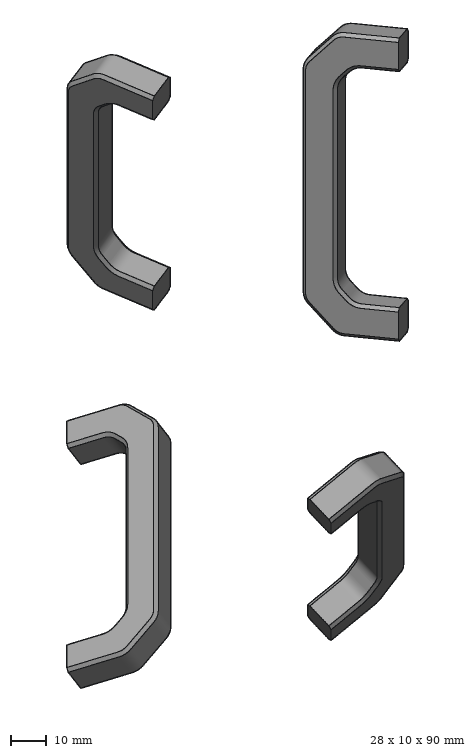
import cadquery as cq

HEIGHT = 90.0
REACH = 28.0
BAR = 10.0

OUTER_BEVEL = 10.0
INNER_BEVEL = 5.0
BEND_RADIUS = 5.0
EDGE_CHAMFER = 1.0


def beveled_block(left, half_height, bevel):
    """Block from x = left to the mounting plane, with both left corners beveled and rounded."""
    block = (
        cq.Workplane("XY")
        .box(REACH - left, BAR, 2 * half_height, centered=(False, True, True))
        .translate((left, 0, 0))
    )
    block = block.edges("|Y and <X").chamfer(bevel)
    return block.edges("|Y and (not >X)").fillet(BEND_RADIUS)


def chamfer_long_edges(body):
    """Chamfer the rims of both side faces, leaving the mounting faces square."""
    return body.faces("<Y or >Y").edges("not(>X)").chamfer(EDGE_CHAMFER)


outer_block = beveled_block(0, HEIGHT / 2, OUTER_BEVEL)
opening = beveled_block(BAR, HEIGHT / 2 - BAR, INNER_BEVEL)
result = chamfer_long_edges(outer_block.cut(opening))